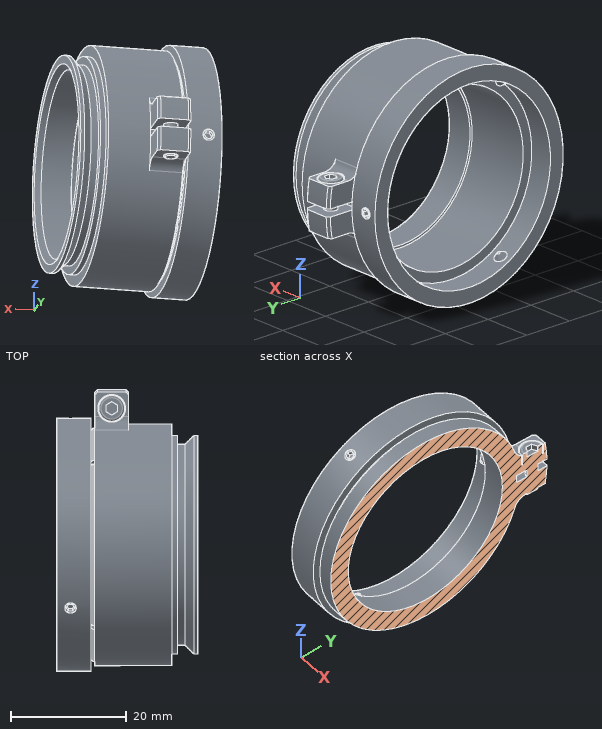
import cadquery as cq
import math


front_ring_end = 6.0
clamp_start = 6.6
clamp_end = 12.5
barrel_end = 20.0
shoulder_end = 21.0
length = 24.5
flange_rim_width = 0.7
recess_depth = 4.85
rear_bore_start = 18.1
rear_chamfer = 1.0

front_ring_radius = 44 / 2
barrel_radius = 42 / 2
shoulder_radius = 38 / 2
groove_radius = 35 / 2
recess_radius = 38 / 2
bore_radius = 34 / 2
rear_bore_radius = 33 / 2
neck_radius = 20.3
neck_chamfer = 0.3

notch_count = 4
notch_width = 0.9
notch_depth = 1.0

lug_outer_radius = 27.0
lug_half_height = 4.9
lug_edge_chamfer = 0.5
lug_fillet = 2.5
slit_width = 1.5

screw_x = (clamp_start + clamp_end) / 2
screw_y = 23.7
screw_radius = 2.5 / 2
screw_end_height = -5.2
screw_end_chamfer = 0.2
head_radius = 4.5 / 2
head_top = 5.2
head_height = 2.5
head_fillet = 0.4
head_hex_flats = 2.0
head_hex_depth = 1.2
counterbore_radius = 4.8 / 2

set_screw_angles = (0, 120, 240)
set_screw_x = 2.4
set_screw_radius = 2.5 / 2
set_screw_hole_radius = 2.0 / 2
set_screw_face = front_ring_radius - 0.1
set_screw_tip = recess_radius - 0.95
set_screw_tip_radius = 0.3
set_screw_hex_flats = 1.3
set_screw_hex_depth = 1.0
hole_clearance = 1.0


def hexagon_diameter(across_flats):
    """Corner-to-corner size of a hexagon."""
    return across_flats / math.cos(math.pi / 6)


def make_tube():
    """Revolved body: front ring, neck, barrel, shoulder, V-groove and stepped bore."""
    cone_end = length - flange_rim_width
    cone_start = cone_end - (shoulder_radius - groove_radius)
    profile = [
        (0, recess_radius),
        (0, front_ring_radius),
        (front_ring_end, front_ring_radius),
        (front_ring_end, neck_radius - neck_chamfer),
        (front_ring_end + neck_chamfer, neck_radius),
        (clamp_start, neck_radius),
        (clamp_start, barrel_radius),
        (barrel_end, barrel_radius),
        (barrel_end, shoulder_radius),
        (shoulder_end, shoulder_radius),
        (shoulder_end, groove_radius),
        (cone_start, groove_radius),
        (cone_end, shoulder_radius),
        (length, shoulder_radius),
        (length, rear_bore_radius + rear_chamfer),
        (length - rear_chamfer, rear_bore_radius),
        (rear_bore_start, rear_bore_radius),
        (rear_bore_start, bore_radius),
        (recess_depth, bore_radius),
        (recess_depth, recess_radius),
    ]
    return cq.Workplane("XY").polyline(profile).close().revolve(360, (0, 0, 0), (1, 0, 0))


def cut_notches(body):
    """Radial notches across the neck, halfway between the Y and Z axes."""
    neck_width = clamp_start - front_ring_end
    notch = cq.Workplane("XY").box(
        neck_width, 2 * notch_depth, notch_width, centered=(False, True, True)
    ).translate((front_ring_end, neck_radius, 0))
    pitch = 360 / notch_count
    for i in range(notch_count):
        body = body.cut(notch.rotate((0, 0, 0), (1, 0, 0), (i + 0.5) * pitch))
    return body


def make_lug():
    """Lug with an arc outer face, blended into the clamp ring by tangent fillets."""
    blend_z = lug_half_height + lug_fillet
    blend_y = math.sqrt((barrel_radius + lug_fillet) ** 2 - blend_z ** 2)
    touch_scale = barrel_radius / (barrel_radius + lug_fillet)
    touch_y = blend_y * touch_scale
    touch_z = blend_z * touch_scale
    mid_angle = (math.pi / 2 + math.atan2(blend_z, blend_y)) / 2
    mid_y = blend_y - lug_fillet * math.cos(mid_angle)
    mid_z = blend_z - lug_fillet * math.sin(mid_angle)
    outer_y = math.sqrt(lug_outer_radius ** 2 - lug_half_height ** 2)

    lug = (
        cq.Workplane("YZ", origin=(clamp_start, 0, 0))
        .moveTo(outer_y, -lug_half_height)
        .threePointArc((lug_outer_radius, 0), (outer_y, lug_half_height))
        .lineTo(blend_y, lug_half_height)
        .threePointArc((mid_y, mid_z), (touch_y, touch_z))
        .threePointArc((barrel_radius, 0), (touch_y, -touch_z))
        .threePointArc((mid_y, -mid_z), (blend_y, -lug_half_height))
        .close()
        .extrude(clamp_end - clamp_start)
    )
    return lug.faces(">Y").edges("<X or >X").chamfer(lug_edge_chamfer)


def cut_slit(body):
    """Slit that parts the lug and the clamp ring down to the neck radius."""
    slit = cq.Workplane("XY").box(
        clamp_end - clamp_start, lug_outer_radius, slit_width, centered=(False, False, True)
    ).translate((clamp_start, 0, 0))
    core = cq.Workplane("YZ").circle(neck_radius).extrude(length)
    return body.cut(slit.cut(core))


def make_clamp_screw():
    """Socket-head screw that bridges the slit."""
    head_base = head_top - head_height
    head = (
        cq.Workplane("XY", origin=(screw_x, screw_y, head_base))
        .circle(head_radius)
        .extrude(head_height)
        .faces(">Z")
        .edges()
        .fillet(head_fillet)
    )
    socket = (
        cq.Workplane("XY", origin=(screw_x, screw_y, head_top - head_hex_depth))
        .transformed(rotate=(0, 0, 90))
        .polygon(6, hexagon_diameter(head_hex_flats))
        .extrude(head_hex_depth)
    )
    shank = (
        cq.Workplane("XY", origin=(screw_x, screw_y, screw_end_height))
        .circle(screw_radius)
        .extrude(head_base - screw_end_height)
        .faces("<Z")
        .edges()
        .chamfer(screw_end_chamfer)
    )
    return head.cut(socket).union(shank)


def cut_counterbore(body):
    """Recess around the head of the clamp screw."""
    counterbore = (
        cq.Workplane("XY", origin=(screw_x, screw_y, head_top - head_height))
        .circle(counterbore_radius)
        .extrude(lug_outer_radius)
    )
    return body.cut(counterbore)


def add_set_screws(body):
    """Cone-point set screws with hex sockets, seated in radial holes of the front ring."""
    cone_height = set_screw_radius - set_screw_tip_radius
    cone_base = set_screw_tip + cone_height
    screw = (
        cq.Workplane("XY")
        .moveTo(0, set_screw_tip)
        .lineTo(set_screw_tip_radius, set_screw_tip)
        .lineTo(set_screw_radius, cone_base)
        .lineTo(set_screw_radius, set_screw_face)
        .lineTo(0, set_screw_face)
        .close()
        .revolve(360, (0, 0, 0), (0, 1, 0))
        .translate((set_screw_x, 0, 0))
    )
    hole = (
        cq.Workplane("XZ", origin=(set_screw_x, front_ring_radius + hole_clearance, 0))
        .circle(set_screw_hole_radius)
        .extrude(front_ring_radius + hole_clearance - set_screw_face)
    )
    socket = (
        cq.Workplane("XZ", origin=(set_screw_x, set_screw_face, 0))
        .polygon(6, hexagon_diameter(set_screw_hex_flats))
        .extrude(set_screw_hex_depth)
    )
    for angle in set_screw_angles:
        body = body.union(screw.rotate((0, 0, 0), (1, 0, 0), angle))
        body = body.cut(hole.rotate((0, 0, 0), (1, 0, 0), angle))
        body = body.cut(socket.rotate((0, 0, 0), (1, 0, 0), angle))
    return body


body = cut_notches(make_tube()).union(make_lug())
body = cut_counterbore(cut_slit(body))
body = body.union(make_clamp_screw())
result = add_set_screws(body)